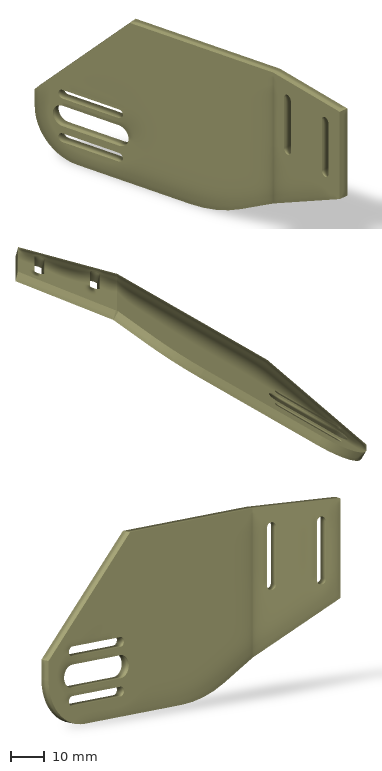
import cadquery as cq
import math

length = 114.8
height = 55.0
thickness = 3.0

bend_angle = 15.0
flange_length = 30.0
flange_end_height = 30.0
bend = math.radians(bend_angle)
bend_x = length - flange_length * math.cos(bend) - thickness * math.sin(bend)

top_chamfer = 34.0
corner_radius = 15.0
lower_slope = 0.5
lower_blend_radius = 40.0
flange_end_z = height - flange_end_height
bend_z = flange_end_z - lower_slope * flange_length

slot_center_x = 20.0
slot_center_z = corner_radius
wide_slot_length = 27.0
wide_slot_width = 7.0
narrow_slot_length = 23.0
narrow_slot_width = 3.0
narrow_slot_offset = 7.5

flange_slot_length = 20.4
flange_slot_width = 3.0
flange_slot_inset = 6.4
flange_slot_spacing = 17.0
flange_slot_top_margin = 4.8
flange_slot_z = height - flange_slot_top_margin - flange_slot_length / 2


def plate_profile():
    """Main plate outline in XZ, ending at the bend line on the right."""
    slope_angle = math.atan(lower_slope)
    slope_start_x = bend_x - bend_z / lower_slope
    blend_start_x = slope_start_x - lower_blend_radius * math.tan(slope_angle / 2)
    blend_end_x = blend_start_x + lower_blend_radius * math.sin(slope_angle)
    blend_end_z = lower_blend_radius * (1 - math.cos(slope_angle))
    blend_mid_x = blend_start_x + lower_blend_radius * math.sin(slope_angle / 2)
    blend_mid_z = lower_blend_radius * (1 - math.cos(slope_angle / 2))
    corner_mid = corner_radius * (1 - math.sqrt(0.5))
    return (
        cq.Workplane("XZ")
        .moveTo(0, corner_radius)
        .threePointArc((corner_mid, corner_mid), (corner_radius, 0))
        .lineTo(blend_start_x, 0)
        .threePointArc((blend_mid_x, blend_mid_z), (blend_end_x, blend_end_z))
        .lineTo(bend_x, bend_z)
        .lineTo(bend_x, height)
        .lineTo(top_chamfer, height)
        .lineTo(0, height - top_chamfer)
        .close()
    )


def slot_cutter(plane, x, z, slot_length, slot_width, angle):
    """Slot prism reaching through the sheet on both sides of the given plane."""
    return (
        cq.Workplane(plane)
        .center(x, z)
        .slot2D(slot_length, slot_width, angle)
        .extrude(2 * thickness, both=True)
    )


def make_main_plate():
    plate = plate_profile().extrude(-thickness)
    slots = [
        (0, wide_slot_length, wide_slot_width),
        (narrow_slot_offset, narrow_slot_length, narrow_slot_width),
        (-narrow_slot_offset, narrow_slot_length, narrow_slot_width),
    ]
    for offset, slot_length, slot_width in slots:
        plate = plate.cut(
            slot_cutter("XZ", slot_center_x, slot_center_z + offset, slot_length, slot_width, 0)
        )
    return plate


def make_flange():
    plane = cq.Plane(
        origin=(bend_x, 0, 0),
        xDir=(math.cos(bend), -math.sin(bend), 0),
        normal=(-math.sin(bend), -math.cos(bend), 0),
    )
    flange = (
        cq.Workplane(plane)
        .moveTo(0, bend_z)
        .lineTo(flange_length, flange_end_z)
        .lineTo(flange_length, height)
        .lineTo(0, height)
        .close()
        .extrude(-thickness)
    )
    for x in (flange_slot_inset, flange_slot_inset + flange_slot_spacing):
        flange = flange.cut(
            slot_cutter(plane, x, flange_slot_z, flange_slot_length, flange_slot_width, 90)
        )
    return flange


def make_bend_corner():
    """Fill the wedge opened by the bend, giving a sharp outer corner."""
    return (
        cq.Workplane("XY", origin=(bend_x, 0, bend_z))
        .polyline([
            (0, 0),
            (0, thickness),
            (thickness * math.tan(bend / 2), thickness),
            (thickness * math.sin(bend), thickness * math.cos(bend)),
        ])
        .close()
        .extrude(height - bend_z)
    )


result = make_main_plate().union(make_bend_corner()).union(make_flange())